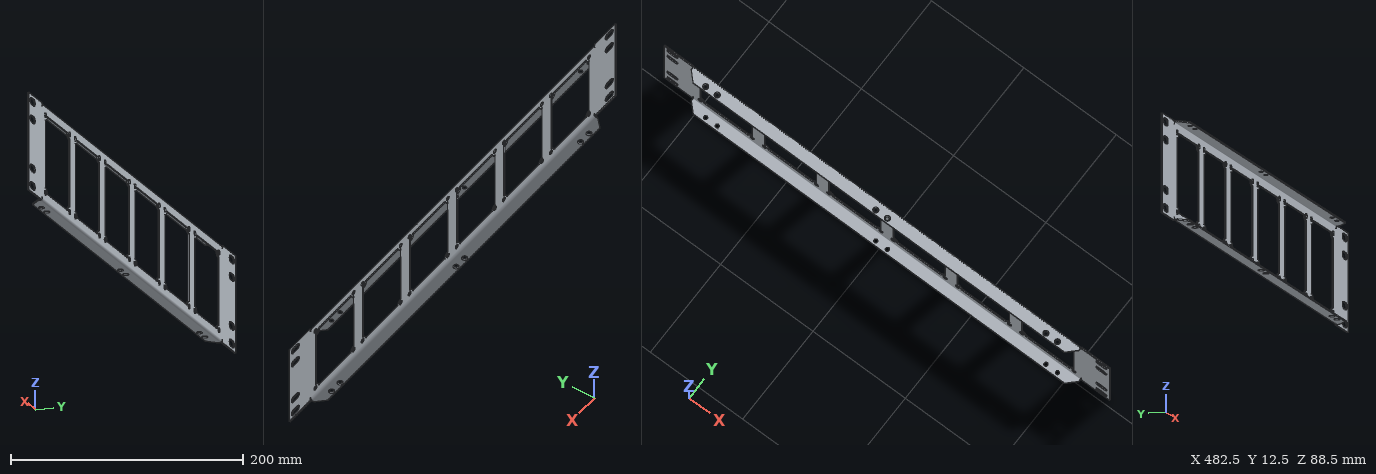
import cadquery as cq

panel_width = 482.5
panel_height = 88.5
panel_depth = 12.5
sheet = 1.2
bend_inner_radius = 0.5
bend_outer_radius = 2.15
bend_relief_width = 0.5
bend_relief_depth = 3.0

flange_length = 420.0
flange_chamfer_x = 8.5
flange_chamfer_y = 8.5

flange_hole_diameter = 3.5
countersink_diameter = 5.5
flange_hole_offset_y = 8.5
flange_hole_x = (6.5, 178.0, 190.5)

window_count = 6
window_center_span = 348.5
window_pitch = window_center_span / (window_count - 1)
window_width = 56.5
window_height = 70.5
corner_tab_radius = 4.5
corner_hole_diameter = 4.1

slot_length = 11.5
slot_height = 6.5
slot_spacing_x = 464.7
slot_center_z = (22.0, 38.0)

half_height = panel_height / 2
window_centers = [
    (i * window_pitch - window_center_span / 2, 0) for i in range(window_count)
]
corner_points = [
    (x + side * window_width / 2, level * window_height / 2)
    for x, _ in window_centers
    for side in (-1, 1)
    for level in (-1, 1)
]


def facing_front():
    """Sketch plane on the rear face; positive extrusion runs toward -Y."""
    return cq.Workplane("XZ")


def make_folded_channel():
    """U-shaped sheet section with rounded bends, over the flange length."""
    outside = (
        cq.Workplane("XY")
        .box(flange_length, panel_depth, panel_height)
        .translate((0, -panel_depth / 2, 0))
        .edges("|X and >Y")
        .fillet(bend_outer_radius)
    )
    inside = (
        cq.Workplane("XY")
        .box(flange_length, panel_depth, panel_height - 2 * sheet)
        .translate((0, -panel_depth / 2 - sheet, 0))
        .edges("|X and >Y")
        .fillet(bend_inner_radius)
    )
    return outside.cut(inside)


def make_end_corner_cutter():
    """Triangular prisms that slope the flange ends back from the front edge."""
    cutters = cq.Workplane("XY")
    for side in (-1, 1):
        end_x = side * flange_length / 2
        triangle = (
            cq.Workplane("XY")
            .moveTo(end_x, -panel_depth)
            .lineTo(end_x - side * flange_chamfer_x, -panel_depth)
            .lineTo(end_x, -panel_depth + flange_chamfer_y)
            .close()
            .extrude(half_height, both=True)
        )
        cutters = cutters.union(triangle)
    return cutters


def make_flange_hole_cutter():
    """Holes through both flanges with 90 degree countersinks on the outside."""
    points = [
        (side * x, -flange_hole_offset_y) for x in flange_hole_x for side in (-1, 1)
    ]
    hole_radius = flange_hole_diameter / 2
    sink_radius = countersink_diameter / 2
    sink_depth = sink_radius - hole_radius
    holes = (
        cq.Workplane("XY").pushPoints(points).circle(hole_radius).extrude(half_height, both=True)
    )
    for level in (-1, 1):
        for x, y in points:
            sink = cq.Solid.makeCone(
                sink_radius,
                hole_radius,
                sink_depth,
                pnt=cq.Vector(x, y, level * half_height),
                dir=cq.Vector(0, 0, -level),
            )
            holes = holes.union(cq.Workplane(sink))
    return holes


def make_end_plates():
    """Flat ears beyond the flanges at both ends of the panel."""
    ear_width = (panel_width - flange_length) / 2
    ear_x = (panel_width - ear_width) / 2
    return (
        facing_front()
        .pushPoints([(-ear_x, 0), (ear_x, 0)])
        .rect(ear_width, panel_height)
        .extrude(sheet)
    )


def make_bend_relief_cutter():
    """Narrow slits that separate the ears from the bends at the flange ends."""
    relief_x = (flange_length + bend_relief_width) / 2
    relief_z = half_height - bend_relief_depth / 2
    points = [(side * relief_x, level * relief_z) for side in (-1, 1) for level in (-1, 1)]
    return (
        facing_front()
        .pushPoints(points)
        .rect(bend_relief_width, bend_relief_depth)
        .extrude(sheet)
    )


def make_window_cutter():
    """Windows whose corners keep a round tab for the fixing hole."""
    windows = (
        facing_front()
        .pushPoints(window_centers)
        .rect(window_width, window_height)
        .extrude(sheet)
    )
    tabs = facing_front().pushPoints(corner_points).circle(corner_tab_radius).extrude(sheet)
    return windows.cut(tabs)


def make_corner_hole_cutter():
    """Fixing holes centered on the window corners."""
    return (
        facing_front()
        .pushPoints(corner_points)
        .circle(corner_hole_diameter / 2)
        .extrude(sheet)
    )


def make_rack_slot_cutter():
    """Round-ended slots in both ears."""
    points = [
        (side * slot_spacing_x / 2, level * z)
        for side in (-1, 1)
        for level in (-1, 1)
        for z in slot_center_z
    ]
    return facing_front().pushPoints(points).slot2D(slot_length, slot_height).extrude(sheet)


result = (
    make_folded_channel()
    .cut(make_end_corner_cutter())
    .cut(make_flange_hole_cutter())
    .union(make_end_plates())
    .cut(make_bend_relief_cutter())
    .cut(make_window_cutter())
    .cut(make_corner_hole_cutter())
    .cut(make_rack_slot_cutter())
)